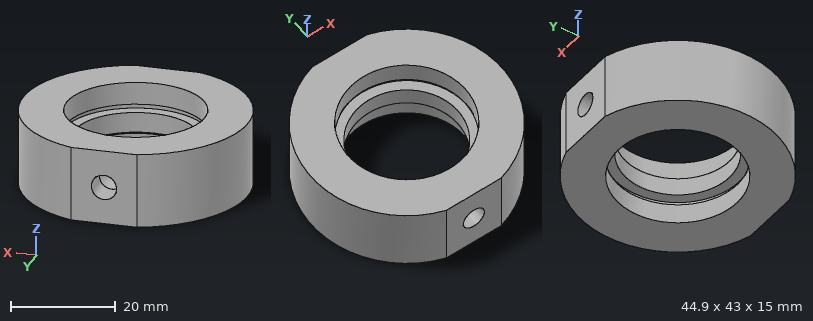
import cadquery as cq

outer_diameter = 44.9
width_across_flats = 43.0
thickness = 15.0

bore_diameter = 24.0
counterbore_diameter = 27.5
counterbore_depth = 5.5

groove_width = 1.0
groove_depth = 0.5

hole_diameter = 5.0
hole_depth = 5.4
point_length = 1.45


def ring_body():
    disc = cq.Workplane("XY").circle(outer_diameter / 2).extrude(thickness / 2, both=True)
    flats = cq.Workplane("XY").box(outer_diameter, width_across_flats, thickness)
    return disc.intersect(flats)


def stepped_bore():
    bore = cq.Workplane("XY").circle(bore_diameter / 2).extrude(thickness / 2, both=True)
    for side in (-1, 1):
        counterbore = (
            cq.Workplane("XY", origin=(0, 0, side * thickness / 2))
            .circle(counterbore_diameter / 2)
            .extrude(-side * counterbore_depth)
        )
        floor_z = side * (thickness / 2 - counterbore_depth)
        groove = (
            cq.Workplane("XY", origin=(0, 0, floor_z))
            .circle(counterbore_diameter / 2 + groove_depth)
            .extrude(side * groove_width)
        )
        bore = bore.union(counterbore).union(groove)
    return bore


def radial_holes():
    flat_y = -width_across_flats / 2
    shoulder_y = flat_y + hole_depth
    hole = (
        cq.Workplane("XY")
        .moveTo(0, flat_y)
        .lineTo(hole_diameter / 2, flat_y)
        .lineTo(hole_diameter / 2, shoulder_y)
        .lineTo(0, shoulder_y + point_length)
        .close()
        .revolve(360, (0, 0, 0), (0, 1, 0))
    )
    return hole.union(hole.mirror("XZ"))


result = ring_body().cut(stepped_bore()).cut(radial_holes())